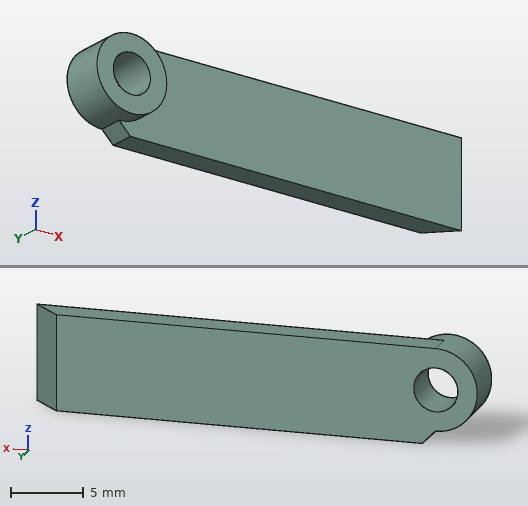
import cadquery as cq

length = 32.5
depth = 3.5
height = 7.0

barrel_diameter = 6.0
bore_diameter = 3.2
barrel_radius = barrel_diameter / 2

blade_thickness = 2.0
tip_bevel = blade_thickness
blade_top = barrel_radius
blade_bottom = blade_top - height
blade_end = length - barrel_radius
corner_cut = height - barrel_diameter
blade_front = depth - blade_thickness


def cylinder_along_y(diameter):
    """Cylinder over the full depth, from Y = 0 to Y = depth."""
    return cq.Workplane("XZ").circle(diameter / 2).extrude(-depth)


def make_blade():
    """Flat blade running from the barrel axis to the tip."""
    return (
        cq.Workplane("XZ", origin=(0, blade_front, 0))
        .moveTo(0, blade_top)
        .lineTo(blade_end, blade_top)
        .lineTo(blade_end, blade_bottom)
        .lineTo(corner_cut, blade_bottom)
        .lineTo(0, -barrel_radius)
        .close()
        .extrude(-blade_thickness)
    )


def make_tip_cutter():
    """Wedge that bevels the rear edge of the blade tip."""
    return (
        cq.Workplane("XY", origin=(0, 0, blade_bottom))
        .moveTo(blade_end, blade_front)
        .lineTo(blade_end, depth)
        .lineTo(blade_end - tip_bevel, depth)
        .close()
        .extrude(height)
    )


blade = make_blade().cut(make_tip_cutter())
barrel = cylinder_along_y(barrel_diameter)
bore = cylinder_along_y(bore_diameter)
result = barrel.union(blade).cut(bore)